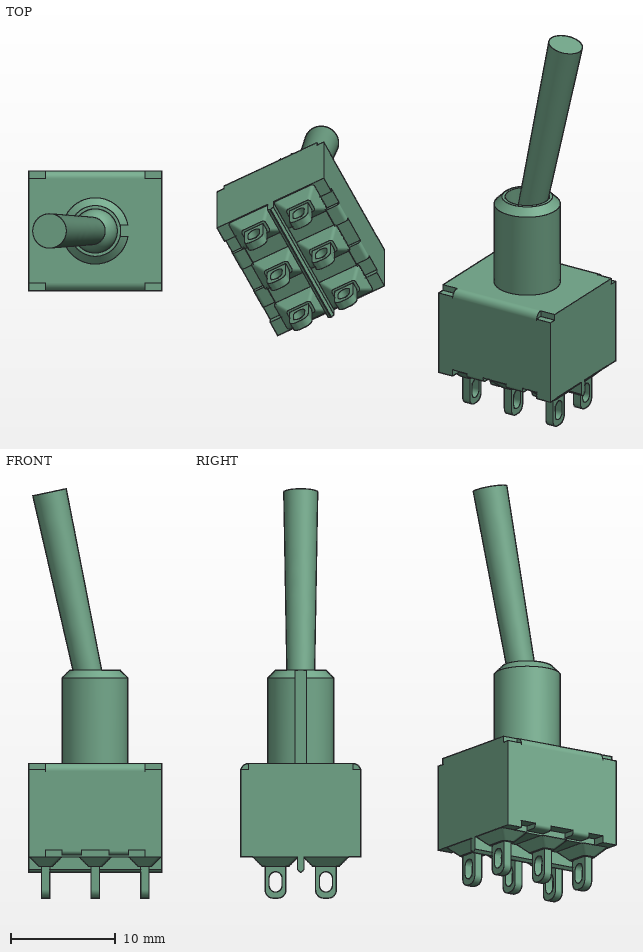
import cadquery as cq
import math

TOTAL_HEIGHT = 39.05
PIN_TIP_Z = -3.95
TOP_Z = TOTAL_HEIGHT + PIN_TIP_Z

HOUSING_X = 12.7
HOUSING_Y = 11.45
HOUSING_Z = 8.9
ROLL_RADIUS = 0.75
ROLL_LENGTH = 9.53
CORNER_NOTCH_DEPTH = 0.6

SKIRT_NOTCH_HEIGHT = 0.65
SKIRT_NOTCH_DEPTH = 1.35
TAB_RADIUS = 0.35
TAB_TOP_Z = 0.55
TAB_LENGTH = 1.87
TAB_X = 2.23

RIB_DEPTH = 1.5
RIB_THICKNESS = 0.62
RIB_CHAMFER = 0.27

BUSHING_RADIUS = 3.15
BUSHING_TOP_Z = 17.8
BUSHING_CHAMFER = 0.75
BORE_RADIUS = 4.2 / 2
KEYWAY_WIDTH = 1.1
KEYWAY_FLOOR_X = 2.42

TERMINAL_PITCH_X = 4.73
TERMINAL_PITCH_Y = 4.8
TERMINAL_THICKNESS = 0.82
TERMINAL_WIDTH = 2.0
TERMINAL_CORNER_RADIUS = 0.8
EYE_WIDTH = 1.2
EYE_LENGTH = 1.9
EYE_Z = -2.4
SEAL_X = 3.1
SEAL_Y = 4.35
SEAL_DEPTH = 0.9
SEAL_TAPER = 45
SEAL_EDGE_RADIUS = 0.43

PIVOT_Z = 14.25
LEVER_TILT = 12
LEVER_TOP_RADIUS = 1.65
LEVER_ROOT_RADIUS = 1.3


def centered_box(size_x, size_y, z_low, z_high, x=0, y=0):
    return (
        cq.Workplane("XY", origin=(x, y, z_low))
        .box(size_x, size_y, z_high - z_low, centered=(True, True, False))
    )


def rolled_block():
    """Housing box with stepped top corners and a rounded top edge between them."""
    block = centered_box(HOUSING_X, HOUSING_Y, 0, HOUSING_Z - CORNER_NOTCH_DEPTH)
    middle = centered_box(ROLL_LENGTH, HOUSING_Y, 0, HOUSING_Z)
    top = centered_box(HOUSING_X, HOUSING_Y - 2 * ROLL_RADIUS, 0, HOUSING_Z)
    block = block.cut(middle)
    middle = middle.edges("|X and >Z").fillet(ROLL_RADIUS)
    return block.union(middle).union(top)


def skirt_notch(side_y):
    """Notch in the lower edge of one long side, less the two rolled tabs that stay in it."""
    notch_y = side_y * (HOUSING_Y - SKIRT_NOTCH_DEPTH) / 2
    notch = centered_box(ROLL_LENGTH, SKIRT_NOTCH_DEPTH, 0, SKIRT_NOTCH_HEIGHT, 0, notch_y)
    outer_edge = "|X and <Z and " + ("<Y" if side_y < 0 else ">Y")
    for tab_x in (-TAB_X, TAB_X):
        tab = centered_box(
            TAB_LENGTH, SKIRT_NOTCH_DEPTH, TAB_TOP_Z - TAB_RADIUS, SKIRT_NOTCH_HEIGHT, tab_x, notch_y
        )
        notch = notch.cut(tab.edges(outer_edge).fillet(TAB_RADIUS))
    return notch


def rib():
    """Rib across the underside with a chamfered lower edge."""
    blade = centered_box(HOUSING_X, RIB_THICKNESS, -RIB_DEPTH, 0)
    return blade.edges("|X and <Z").chamfer(RIB_CHAMFER)


def bushing():
    """Chamfered cylinder with a keyway along its +X side."""
    barrel = (
        cq.Workplane("XY", origin=(0, 0, HOUSING_Z))
        .circle(BUSHING_RADIUS)
        .extrude(BUSHING_TOP_Z - HOUSING_Z)
        .faces(">Z")
        .chamfer(BUSHING_CHAMFER)
    )
    keyway_depth = BUSHING_RADIUS - KEYWAY_FLOOR_X
    keyway = centered_box(
        keyway_depth, KEYWAY_WIDTH, HOUSING_Z, BUSHING_TOP_Z, KEYWAY_FLOOR_X + keyway_depth / 2
    )
    return barrel.cut(keyway)


def ball():
    return cq.Workplane("XY", origin=(0, 0, PIVOT_Z)).sphere(BORE_RADIUS)


def ball_socket():
    """Bore open at the bushing top, with a spherical floor that seats the lever ball."""
    bore = (
        cq.Workplane("XY", origin=(0, 0, PIVOT_Z))
        .circle(BORE_RADIUS)
        .extrude(BUSHING_TOP_Z - PIVOT_Z)
    )
    return bore.union(ball())


def terminal(x, y):
    """Solder lug with a slotted eye, hanging below a tapered seal."""
    lug = (
        centered_box(TERMINAL_THICKNESS, TERMINAL_WIDTH, PIN_TIP_Z, 0, x, y)
        .edges("|X and <Z")
        .fillet(TERMINAL_CORNER_RADIUS)
    )
    eye = (
        cq.Workplane("YZ", origin=(x, y, EYE_Z))
        .slot2D(EYE_LENGTH, EYE_WIDTH, 90)
        .extrude(TERMINAL_THICKNESS, both=True)
    )
    seal = (
        cq.Workplane("XY", origin=(x, y, 0))
        .rect(SEAL_X, SEAL_Y)
        .extrude(-SEAL_DEPTH, taper=SEAL_TAPER)
        .edges("not (|X or |Y)")
        .fillet(SEAL_EDGE_RADIUS)
    )
    return seal.union(lug.cut(eye))


def make_housing():
    body = rolled_block()
    for side_y in (-1, 1):
        body = body.cut(skirt_notch(side_y))
    body = body.union(rib()).union(bushing())
    for column in (-1, 0, 1):
        for row in (-1, 1):
            body = body.union(terminal(column * TERMINAL_PITCH_X, row * TERMINAL_PITCH_Y / 2))
    return body.cut(ball_socket())


def make_lever():
    """Tapered stick with a pivot ball, tilted toward -X."""
    tilt = math.radians(LEVER_TILT)
    length = (TOP_Z - PIVOT_Z - LEVER_TOP_RADIUS * math.sin(tilt)) / math.cos(tilt)
    stick = (
        cq.Workplane("XZ", origin=(0, 0, PIVOT_Z))
        .polyline([(0, 0), (LEVER_ROOT_RADIUS, 0), (LEVER_TOP_RADIUS, length), (0, length)])
        .close()
        .revolve(360, (0, 0), (0, 1))
        .rotate((0, 0, PIVOT_Z), (0, 1, PIVOT_Z), -LEVER_TILT)
    )
    return ball().union(stick)


housing = make_housing()
lever = make_lever()
result = cq.Compound.makeCompound([housing.val(), lever.val()])